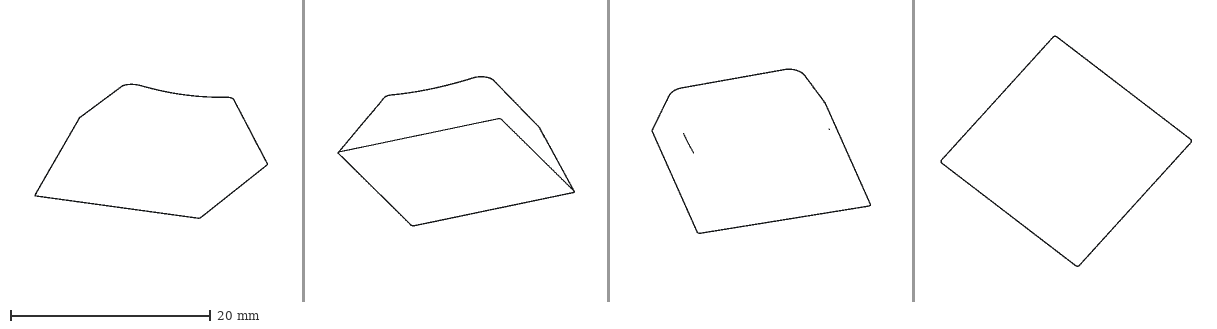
import cadquery as cq

base_size = 18.0
base_corner_radius = 0.27

top_width = 11.85
top_depth = 14.0
top_offset_y = 1.39
top_corner_radius = 1.8
top_tilt = 1.2
blank_height = 7.35

dish_radius = 29.7
dish_floor_z = 6.53
dish_length = 36.0

rim_fillet = 0.22


def rounded_rectangle(width, depth, radius):
    return cq.Sketch().rect(width, depth).vertices().fillet(radius)


def make_blank():
    """Tapered body from the bottom outline to the top outline."""
    base = rounded_rectangle(base_size, base_size, base_corner_radius)
    top = rounded_rectangle(top_width, top_depth, top_corner_radius)
    top_place = cq.Location(cq.Vector(0, top_offset_y, blank_height), cq.Vector(1, 0, 0), -top_tilt)
    return cq.Workplane("XY").placeSketch(base, top.moved(top_place)).loft(ruled=True)


def make_dish():
    """Cylinder whose lowest line is the floor of the dish."""
    cylinder = (
        cq.Workplane("XZ")
        .center(0, dish_radius)
        .circle(dish_radius)
        .extrude(dish_length / 2, both=True)
    )
    tilted = cylinder.rotate((0, 0, 0), (1, 0, 0), -top_tilt)
    return tilted.translate((0, top_offset_y, dish_floor_z))


dished = make_blank().cut(make_dish())
result = dished.faces("%CYLINDER").edges().fillet(rim_fillet)